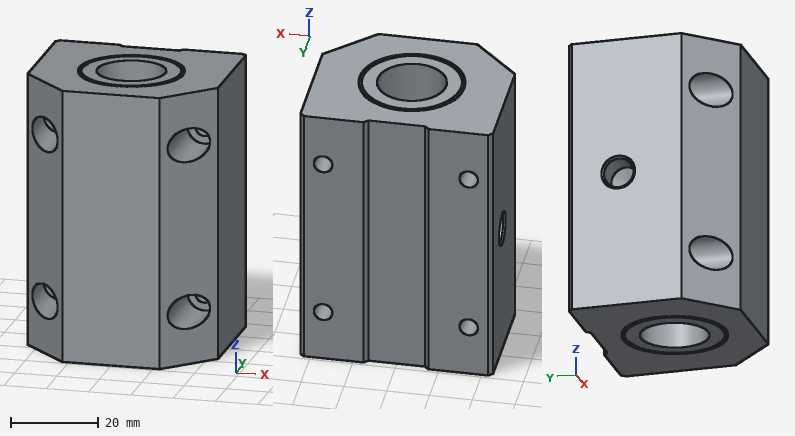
import cadquery as cq
import math

width = 45.0
depth = 38.0
length = 65.0
front_bevel = 11.0
back_chamfer = 1.0
notch_floor_width = 13.25
notch_depth = 1.0

bore_diameter = 24.0
bore_mouth_chamfer = 0.25
shaft_diameter = 16.0
bushing_length = length / 2
bushing_chamfer = 0.5

mount_spacing_x = 34.0
mount_spacing_z = 40.0
mount_diameter = 4.3
counterbore_diameter = 8.0
counterbore_depth = 20.0

port_y = 7.0
port_diameter = 7.0
port_mouth_diameter = 8.0
port_depth = 6.5
drill_point_angle = 118.0


def make_block():
    """Extrude the bevelled outline with its shallow notch in the back face."""
    side = width / 2
    back = depth / 2
    half_floor = notch_floor_width / 2
    half_opening = half_floor + notch_depth
    right_half = [
        (side - front_bevel, -back),
        (side, -back + front_bevel),
        (side, back - back_chamfer),
        (side - back_chamfer, back),
        (half_opening, back),
        (half_floor, back - notch_depth),
    ]
    left_half = [(-x, y) for x, y in reversed(right_half)]
    outline = cq.Workplane("XY").workplane(offset=-length / 2).polyline(right_half + left_half).close()
    return outline.extrude(length)


def make_bore():
    """Through bore, widened by a small chamfer at both ends."""
    radius = bore_diameter / 2
    mouth_radius = radius + bore_mouth_chamfer
    end = length / 2
    shoulder = end - bore_mouth_chamfer
    profile = [
        (0, -end),
        (mouth_radius, -end),
        (radius, -shoulder),
        (radius, shoulder),
        (mouth_radius, end),
        (0, end),
    ]
    return cq.Workplane("XZ").polyline(profile).close().revolve(360, (0, 0), (0, 1))


def make_mount_holes():
    """Four through holes with counterbores sunk from the front."""
    front = cq.Workplane("XZ", origin=(0, -depth / 2, 0)).rarray(mount_spacing_x, mount_spacing_z, 2, 2)
    through_holes = front.circle(mount_diameter / 2).extrude(-depth)
    counterbores = front.circle(counterbore_diameter / 2).extrude(-counterbore_depth)
    return through_holes.union(counterbores)


def make_port():
    """Blind hole with a chamfered mouth and a conical drill point."""
    radius = port_diameter / 2
    mouth_radius = port_mouth_diameter / 2
    mouth_chamfer = mouth_radius - radius
    tip_length = radius / math.tan(math.radians(drill_point_angle / 2))
    profile = [
        (0, 0),
        (0, mouth_radius),
        (mouth_chamfer, radius),
        (port_depth, radius),
        (port_depth + tip_length, 0),
    ]
    side = cq.Workplane("XY", origin=(-width / 2, port_y, 0))
    return side.polyline(profile).close().revolve(360, (0, 0), (1, 0))


def make_housing():
    return make_block().cut(make_bore()).cut(make_mount_holes()).cut(make_port())


def make_bushing(bottom):
    """Plain sleeve with chamfered outer edges, starting at height bottom."""
    sleeve = (
        cq.Workplane("XY")
        .workplane(offset=bottom)
        .circle(bore_diameter / 2)
        .extrude(bushing_length)
        .edges()
        .chamfer(bushing_chamfer)
    )
    shaft_hole = cq.Workplane("XY").workplane(offset=bottom).circle(shaft_diameter / 2).extrude(bushing_length)
    return sleeve.cut(shaft_hole)


housing = make_housing()
bushings = [make_bushing(bottom) for bottom in (-bushing_length, 0)]

result = cq.Compound.makeCompound([housing.solids().val(), *[bushing.solids().val() for bushing in bushings]])